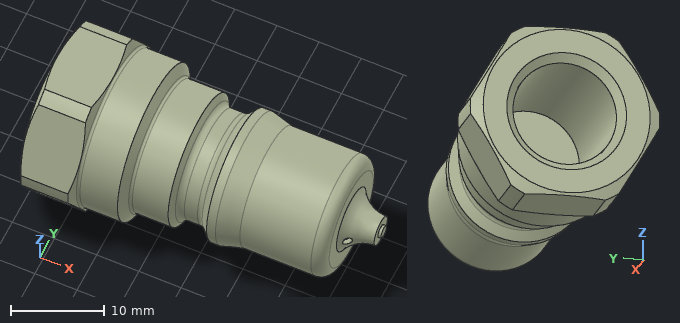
import cadquery as cq
import math

hex_front_chamfer_end = 0.7
hex_rear_chamfer_start = 6.27
hex_end = 7.13
collar_end = 11.55
shoulder_start = 12.65
shoulder_end = 16.9
groove_floor_start = 18.23
groove_floor_end = 19.8
ridge_start = 21.45
ridge_end = 22.5
barrel_start = 25.1
barrel_end = 34.98
nose_end = 38.5
overall_length = 38.95

hex_across_flats = 19.0
hex_corner_radius = 21.0 / 2
hex_face_radius = 9.25
hex_sides = 6

collar_radius = 9.25
shoulder_radius = 7.8
groove_radius = 6.5
groove_fillet = 0.97
step_fillet = 0.4
steep_angle = 60
groove_exit_angle = 45
barrel_radius = 7.1
barrel_edge_radius = 1.48
nose_base_radius = 3.75
nose_tip_radius = 1.7
pin_radius = 0.75
pin_dome_height = 0.1

bore_radius = 5.73
bore_mouth_radius = 6.62
bore_depth = 17.53
nose_hole_radius = 0.55
nose_hole_x = 35.8
nose_hole_depth = 0.62


def revolve_about_x(profile):
    """Close a half profile and turn it about the X axis."""
    return profile.close().revolve(360, (0, 0, 0), (1, 0, 0))


def fillet_start(fillet_radius, angle, floor_x, floor_radius, side):
    """Point where a cone meets the fillet that ends on a cylinder at floor_x.

    side is -1 when the cone lies on the -X side of the cylinder, +1 on the +X side.
    """
    turn = math.radians(angle)
    return (
        floor_x + side * fillet_radius * math.sin(turn),
        floor_radius + fillet_radius * (1 - math.cos(turn)),
    )


nose_length = nose_end - barrel_end
nose_rise = nose_base_radius - nose_tip_radius
flare_radius = (nose_length**2 + nose_rise**2) / (2 * nose_rise)


def make_hex_nut():
    """Hexagon with flats facing +Z and -Z, its corners turned and chamfered."""
    corner_diameter = hex_across_flats / (3 ** 0.5 / 2)
    prism = cq.Workplane("YZ").polygon(hex_sides, corner_diameter).extrude(hex_end)
    rear_step = fillet_start(step_fillet, steep_angle, hex_end, collar_radius, -1)
    envelope = revolve_about_x(
        cq.Workplane("XY")
        .lineTo(0, hex_face_radius)
        .lineTo(hex_front_chamfer_end, hex_corner_radius)
        .lineTo(hex_rear_chamfer_start, hex_corner_radius)
        .lineTo(*rear_step)
        .radiusArc((hex_end, collar_radius), -step_fillet)
        .lineTo(hex_end, 0)
    )
    return prism.intersect(envelope)


def make_turned_body():
    """Collar, shoulder, locking groove, ridge, barrel, flared nose and tip pin."""
    collar_step = fillet_start(step_fillet, steep_angle, shoulder_start, shoulder_radius, -1)
    groove_entry = fillet_start(groove_fillet, steep_angle, groove_floor_start, groove_radius, -1)
    groove_exit = fillet_start(groove_fillet, groove_exit_angle, groove_floor_end, groove_radius, 1)
    dome_radius = (pin_radius**2 + pin_dome_height**2) / (2 * pin_dome_height)
    return revolve_about_x(
        cq.Workplane("XY")
        .moveTo(hex_end / 2, 0)
        .lineTo(hex_end / 2, collar_radius)
        .lineTo(collar_end, collar_radius)
        .lineTo(*collar_step)
        .radiusArc((shoulder_start, shoulder_radius), -step_fillet)
        .lineTo(shoulder_end, shoulder_radius)
        .lineTo(*groove_entry)
        .radiusArc((groove_floor_start, groove_radius), -groove_fillet)
        .lineTo(groove_floor_end, groove_radius)
        .radiusArc(groove_exit, -groove_fillet)
        .lineTo(ridge_start, shoulder_radius)
        .lineTo(ridge_end, shoulder_radius)
        .lineTo(barrel_start, barrel_radius)
        .lineTo(barrel_end - barrel_edge_radius, barrel_radius)
        .radiusArc((barrel_end, barrel_radius - barrel_edge_radius), barrel_edge_radius)
        .lineTo(barrel_end, nose_base_radius)
        .radiusArc((nose_end, nose_tip_radius), -flare_radius)
        .lineTo(nose_end, pin_radius)
        .lineTo(overall_length - pin_dome_height, pin_radius)
        .radiusArc((overall_length, 0), dome_radius)
    )


def make_bore():
    """Blind bore with a 45 degree countersunk mouth."""
    mouth_depth = bore_mouth_radius - bore_radius
    return revolve_about_x(
        cq.Workplane("XY")
        .lineTo(0, bore_mouth_radius)
        .lineTo(mouth_depth, bore_radius)
        .lineTo(bore_depth, bore_radius)
        .lineTo(bore_depth, 0)
    )


def make_nose_hole():
    """Shallow hole on the -Y side, drilled square to the flared nose surface."""
    lean = math.asin((nose_end - nose_hole_x) / flare_radius)
    surface_radius = nose_tip_radius + flare_radius * (1 - math.cos(lean))
    outward = cq.Vector(math.sin(lean), -math.cos(lean), 0)
    floor_center = cq.Vector(nose_hole_x, -surface_radius, 0) - outward * nose_hole_depth
    return cq.Workplane(
        cq.Solid.makeCylinder(nose_hole_radius, 2 * nose_hole_depth, floor_center, outward)
    )


result = (
    make_hex_nut()
    .union(make_turned_body())
    .cut(make_bore())
    .cut(make_nose_hole())
)